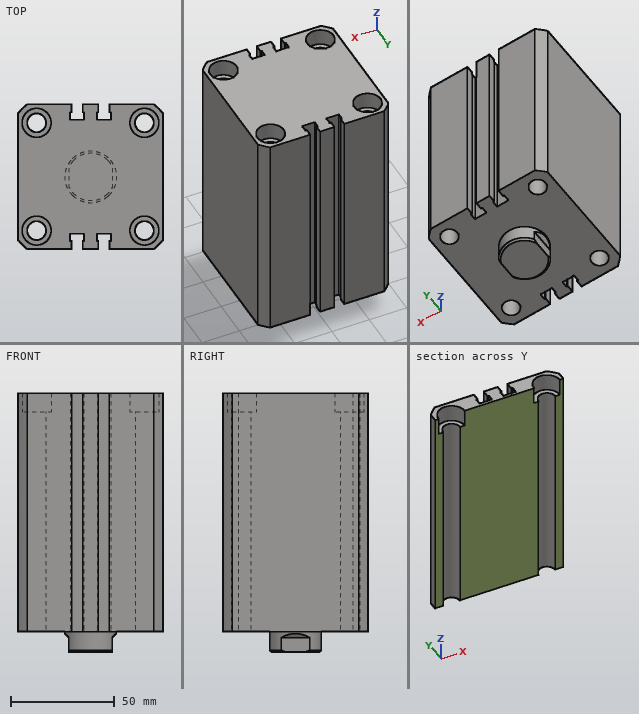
import cadquery as cq

housing_width = 70.0
housing_height = 115.0
corner_circle_diameter = 93.0

hole_spacing = 52.0
hole_diameter = 9.0
counterbore_diameter = 14.0
counterbore_depth = 9.0

slot_offset = 6.5
slot_neck_width = 5.3
slot_neck_depth = 4.0
slot_head_width = 6.7
slot_depth = 7.4

rod_diameter = 25.0
rod_length = 10.0
rod_end_chamfer = 1.0
across_flats = 21.0
flat_length = 7.0
flat_depth = (rod_diameter - across_flats) / 2


def make_slot(x_center, side):
    """T-slot cutter open to the face at Y = side * housing_width / 2."""
    face_y = side * housing_width / 2
    head_depth = slot_depth - slot_neck_depth
    neck_y = face_y - side * slot_depth / 2
    head_y = face_y - side * (slot_neck_depth + head_depth / 2)
    neck = (
        cq.Workplane("XY")
        .center(x_center, neck_y)
        .rect(slot_neck_width, slot_depth)
        .extrude(housing_height)
    )
    head = (
        cq.Workplane("XY")
        .center(x_center, head_y)
        .rect(slot_head_width, head_depth)
        .extrude(housing_height)
    )
    return neck.union(head)


def make_housing():
    block = (
        cq.Workplane("XY")
        .rect(housing_width, housing_width)
        .extrude(housing_height)
    )
    turned_corners = cq.Workplane("XY").circle(corner_circle_diameter / 2).extrude(housing_height)
    block = (
        block.intersect(turned_corners)
        .faces(">Z")
        .workplane()
        .rect(hole_spacing, hole_spacing, forConstruction=True)
        .vertices()
        .cboreHole(hole_diameter, counterbore_diameter, counterbore_depth)
    )
    for side in (-1, 1):
        for x_center in (-slot_offset, slot_offset):
            block = block.cut(make_slot(x_center, side))
    return block


def make_flat_cutter(side):
    """Wrench-flat cutter at one X side, ending in a 45 degree run-out at its top."""
    flat_x = side * across_flats / 2
    outer_x = side * rod_diameter / 2
    flat_top = flat_length - rod_length
    return (
        cq.Workplane("XZ")
        .moveTo(flat_x, -rod_length)
        .lineTo(flat_x, flat_top)
        .lineTo(outer_x, flat_top + flat_depth)
        .lineTo(outer_x, -rod_length)
        .close()
        .extrude(rod_diameter / 2, both=True)
    )


def make_rod():
    rod = (
        cq.Workplane("XY")
        .circle(rod_diameter / 2)
        .extrude(-rod_length)
        .faces("<Z")
        .chamfer(rod_end_chamfer)
    )
    for side in (-1, 1):
        rod = rod.cut(make_flat_cutter(side))
    return rod


housing = make_housing()
rod = make_rod()
result = cq.Compound.makeCompound([housing.val(), rod.val()])